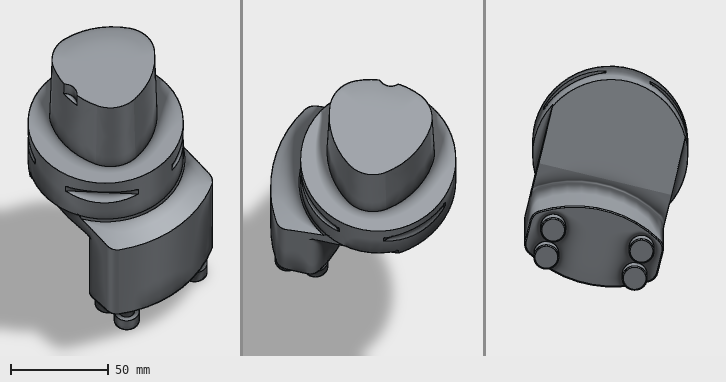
import cadquery as cq
import math

taper_height = 47.9
flange_radius = 80.0 / 2
flange_height = 30.2
underside_z = -40.0
block_bottom_z = -90.1
screw_end_z = taper_height - 154

lobe_tip = 29.4
flat_middle = 25.7
lobe_radius = 17.7
taper_angle = math.degrees(math.atan(1 / 40))
notch_radius = 6.6
notch_center_y = -28.6
notch_depth = 8.0

groove_z = -12.0
groove_floor_width = 3.7
groove_floor_distance = 35.3
groove_wall_angle = 30

block_x = 35.0
block_half_depth = 20.3
body_half_width = 70.4 / 2
bulge_radius = 61.6
corner_radius = 6.8
block_chamfer = 0.6
root_fillet = 1.8

shoulder_radius = 40.8
shoulder_z = -31.4
shoulder_angle = 14.5
slope_end_x = 10.6
slope_angle = 12

screw_shank_diameter = 8.0
screw_head_diameter = 13.0
screw_head_height = 8.2
screw_chamfer = 0.6
screw_xs = (27.7, 42.5)
screw_y = 23.4


def polar(distance, degrees):
    angle = math.radians(degrees)
    return cq.Vector(distance * math.cos(angle), distance * math.sin(angle))


def make_taper():
    """Six tangent arcs (tight lobes, wide flats), drafted to the top."""
    lobe_offset = lobe_tip - lobe_radius
    radius_gap = flat_middle - lobe_radius
    flat_offset = (lobe_offset**2 - radius_gap**2) / (2 * radius_gap - lobe_offset)

    def joint(lobe_angle, side):
        lobe_center = polar(lobe_offset, lobe_angle)
        flat_center = polar(flat_offset, lobe_angle - side * 120)
        return lobe_center + (lobe_center - flat_center).normalized() * lobe_radius

    outline = cq.Workplane("XY").moveTo(*joint(90, -1).toTuple()[:2])
    for lobe_angle in (90, 210, 330):
        for middle, end in (
            (polar(lobe_tip, lobe_angle), joint(lobe_angle, 1)),
            (polar(flat_middle, lobe_angle + 60), joint(lobe_angle + 120, -1)),
        ):
            outline = outline.threePointArc((middle.x, middle.y), (end.x, end.y))
    taper = outline.close().extrude(taper_height, taper=taper_angle)
    notch = (
        cq.Workplane("XY", origin=(0, notch_center_y, taper_height - notch_depth))
        .circle(notch_radius)
        .extrude(notch_depth)
    )
    return taper.cut(notch)


def make_groove(angle):
    """Straight trapezoidal groove across the flange rim."""
    depth = flange_radius - groove_floor_distance
    half_floor = groove_floor_width / 2
    half_mouth = half_floor + depth * math.tan(math.radians(groove_wall_angle))
    return (
        cq.Workplane("XZ")
        .polyline([
            (groove_floor_distance, groove_z - half_floor),
            (flange_radius, groove_z - half_mouth),
            (flange_radius, groove_z + half_mouth),
            (groove_floor_distance, groove_z + half_floor),
        ])
        .close()
        .extrude(flange_radius, both=True)
        .rotate((0, 0, 0), (0, 0, 1), angle)
    )


def make_block():
    """Upright block with bulged front and back faces and rounded corners."""
    sagitta = bulge_radius - math.sqrt(bulge_radius**2 - body_half_width**2)
    corner_x = block_half_depth - sagitta
    return (
        cq.Workplane("XY", origin=(block_x, 0, block_bottom_z))
        .moveTo(-corner_x, -body_half_width)
        .lineTo(corner_x, -body_half_width)
        .threePointArc((block_half_depth, 0), (corner_x, body_half_width))
        .lineTo(-corner_x, body_half_width)
        .threePointArc((-block_half_depth, 0), (-corner_x, -body_half_width))
        .close()
        .extrude(-block_bottom_z - flange_height)
        .edges("|Z")
        .fillet(corner_radius)
        .faces("<Z")
        .chamfer(block_chamfer)
    )


def make_neck():
    """Round neck with two flats, joined to the block."""
    height = -underside_z - flange_height
    base = cq.Workplane("XY", origin=(0, 0, underside_z))
    slab = base.rect(4 * flange_radius, 2 * body_half_width).extrude(height)
    bridge = base.rect(block_x, 2 * body_half_width).extrude(height).translate((block_x / 2, 0, 0))
    return base.circle(flange_radius).extrude(height).intersect(slab).union(bridge)


def make_root_flare(block):
    """Concave fillet between the front of the block and the level underside.

    It is the material missing from a plate that fits around the block
    and has the upper rim of its opening rounded.
    """
    plate_thickness = 2 * root_fillet
    base = cq.Workplane("XY", origin=(0, 0, underside_z - plate_thickness))
    plate = base.rect(6 * flange_radius, 6 * flange_radius).extrude(plate_thickness)
    rim = cq.selectors.BoxSelector(
        (0, -flange_radius, underside_z - root_fillet),
        (2 * block_x, flange_radius, underside_z + root_fillet),
    )
    rounded_plate = plate.cut(block).faces(">Z").edges(rim).fillet(root_fillet)
    front_region = base.rect(block_x, 2 * body_half_width).extrude(plate_thickness)
    return plate.cut(rounded_plate).intersect(front_region.translate((block_x / 2, 0, 0)))


def make_shoulder_envelope():
    """Solid of revolution that shapes the conical top of neck and block."""
    outer_radius = 2 * flange_radius
    drop = (outer_radius - shoulder_radius) * math.tan(math.radians(shoulder_angle))
    return (
        cq.Workplane("XZ")
        .moveTo(0, block_bottom_z)
        .lineTo(outer_radius, block_bottom_z)
        .lineTo(outer_radius, shoulder_z - drop)
        .lineTo(shoulder_radius, shoulder_z)
        .lineTo(flange_radius, -flange_height)
        .lineTo(0, -flange_height)
        .close()
        .revolve(360, (0, 0, 0), (0, 1, 0))
    )


def make_slope_cutter():
    """Wedge below the inclined underside, ending where the underside turns level."""
    start_x = -2 * flange_radius
    rise = (slope_end_x - start_x) * math.tan(math.radians(slope_angle))
    return (
        cq.Workplane("XZ")
        .polyline([
            (slope_end_x, underside_z),
            (start_x, underside_z + rise),
            (start_x, underside_z),
        ])
        .close()
        .extrude(2 * flange_radius, both=True)
    )


def make_screw(x, y):
    head = (
        cq.Workplane("XY", origin=(x, y, screw_end_z))
        .circle(screw_head_diameter / 2)
        .extrude(screw_head_height)
        .faces("<Z")
        .chamfer(screw_chamfer)
    )
    shank = (
        cq.Workplane("XY", origin=(x, y, screw_end_z))
        .circle(screw_shank_diameter / 2)
        .extrude(block_bottom_z - screw_end_z)
    )
    return head.union(shank)


block = make_block()
body = make_neck().union(block).union(make_root_flare(block))
body = body.intersect(make_shoulder_envelope())

flange = cq.Workplane("XY").circle(flange_radius).extrude(-flange_height)
for groove_angle in (45, 135, 225, 315):
    flange = flange.cut(make_groove(groove_angle))

result = body.union(flange).cut(make_slope_cutter()).union(make_taper())
for screw_x in screw_xs:
    for side in (-1, 1):
        result = result.union(make_screw(screw_x, side * screw_y))